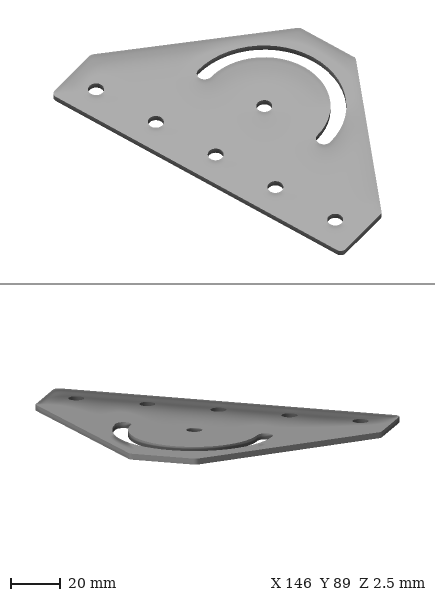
import cadquery as cq

length = 146.0
depth = 89.0
thickness = 2.5
side_height = 27.0
top_width = 28.0
corner_radius = 2.5

hole_diameter = 6.4
edge_margin = 13.0
row_count = 5
pivot_height = 46.0
slot_radius = 30.0

row_spacing = (length - 2 * edge_margin) / (row_count - 1)


def make_plate():
    """Rounded plate, symmetric about X = 0, with its long edge on Y = 0."""
    outline = [
        (-length / 2, 0),
        (length / 2, 0),
        (length / 2, side_height),
        (top_width / 2, depth),
        (-top_width / 2, depth),
        (-length / 2, side_height),
    ]
    plate = cq.Workplane("XY").polyline(outline).close().extrude(thickness)
    return plate.edges("|Z").fillet(corner_radius)


def make_holes():
    """Cutters for the row of mounting holes and the pivot hole."""
    centers = [
        (-length / 2 + edge_margin + i * row_spacing, edge_margin)
        for i in range(row_count)
    ]
    centers.append((0, pivot_height))
    return cq.Workplane("XY").pushPoints(centers).circle(hole_diameter / 2).extrude(thickness)


def make_arc_slot():
    """Cutter for the half-circle slot with round ends, as wide as the holes."""
    outer = slot_radius + hole_diameter / 2
    inner = slot_radius - hole_diameter / 2
    end_bottom = -hole_diameter / 2
    return (
        cq.Workplane("XY", origin=(0, pivot_height, 0))
        .moveTo(-outer, 0)
        .threePointArc((0, outer), (outer, 0))
        .threePointArc((slot_radius, end_bottom), (inner, 0))
        .threePointArc((0, inner), (-inner, 0))
        .threePointArc((-slot_radius, end_bottom), (-outer, 0))
        .close()
        .extrude(thickness)
    )


result = make_plate().cut(make_holes()).cut(make_arc_slot())